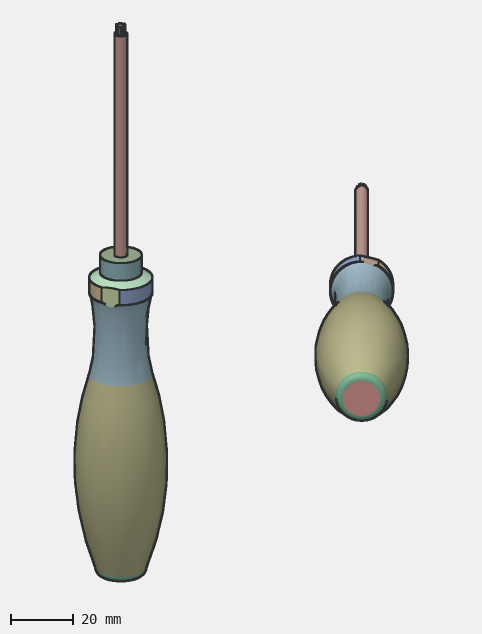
import cadquery as cq
import math

total_length = 191.0
tip_length = 3.0
ferrule_top = 111.0
ferrule_bottom = 104.9
collar_top = 103.1
collar_bottom = 97.8
neck_waist = 85.0
grip_top = 69.5
belly_height = 40.5

shaft_radius = 2.1
tip_radius = 1.5
tip_flute_radius = 0.4
ferrule_radius = 6.7
collar_radius = 10.1
neck_top_radius = 10.0
waist_radius = 8.4
grip_top_radius = 10.1
belly_radius = 14.9
end_edge_radius = 8.2
end_rounding = 2.3

grip_top_slope = -0.27
neck_top_slope = 0.25

flat_width = 6.1
flat_bottom = 95.9
tip_lobes = 6


def make_handle():
    """Revolve the handle: rounded end, swelling grip, waisted neck, collar and ferrule."""
    end_face_radius = end_edge_radius - end_rounding
    arc_inset = 1 - math.sqrt(0.5)
    outline = (
        cq.Workplane("XZ")
        .lineTo(end_face_radius, 0)
        .threePointArc(
            (end_edge_radius - end_rounding * arc_inset, end_rounding * arc_inset),
            (end_edge_radius, end_rounding),
        )
        .spline(
            [(belly_radius, belly_height), (grip_top_radius, grip_top)],
            includeCurrent=True,
        )
        .spline(
            [(waist_radius, neck_waist), (neck_top_radius, collar_bottom)],
            tangents=[(grip_top_slope, 1), (neck_top_slope, 1)],
            includeCurrent=True,
        )
        .lineTo(collar_radius, collar_bottom)
        .lineTo(collar_radius, collar_top)
        .lineTo(ferrule_radius, ferrule_bottom)
        .lineTo(ferrule_radius, ferrule_top)
        .lineTo(0, ferrule_top)
        .close()
    )
    return outline.revolve(360, (0, 0, 0), (0, 1, 0))


def cut_collar_flats(handle):
    """Trim the two opposite sides of the collar to flats of the given width."""
    flat_distance = math.sqrt(collar_radius**2 - (flat_width / 2) ** 2)
    flat_depth = collar_radius - flat_distance
    for side in (-1, 1):
        trim = cq.Workplane("XY").box(
            2 * collar_radius, flat_depth, ferrule_bottom - flat_bottom, centered=(True, True, False)
        )
        handle = handle.cut(trim.translate((0, side * (flat_distance + flat_depth / 2), flat_bottom)))
    return handle


def make_blade():
    """Round shaft ending in a slimmer six-lobed tip."""
    shoulder = total_length - tip_length
    shaft = cq.Workplane("XY").workplane(offset=ferrule_top).circle(shaft_radius)
    shaft = shaft.extrude(shoulder - ferrule_top)
    tip = cq.Workplane("XY").workplane(offset=shoulder).circle(tip_radius).extrude(tip_length)
    flutes = (
        cq.Workplane("XY")
        .workplane(offset=shoulder)
        .polarArray(tip_radius, 180 / tip_lobes, 360, tip_lobes)
        .circle(tip_flute_radius)
        .extrude(tip_length)
    )
    return shaft.union(tip.cut(flutes))


result = cut_collar_flats(make_handle()).union(make_blade())